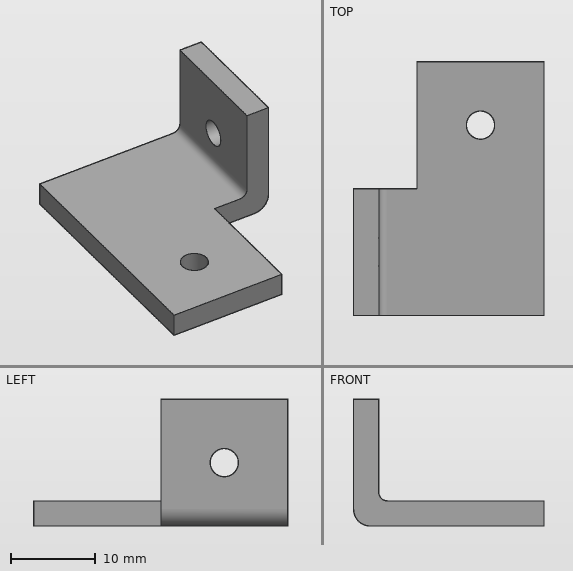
import cadquery as cq

thickness = 3.0
flange_size = 15.0
base_length_x = 22.5
base_length_y = 30.0
arm_width = 15.0
inner_bend_radius = 1.0
outer_bend_radius = 2.0
hole_diameter = 3.3

arm_start_x = base_length_x - arm_width
arm_length = base_length_y - flange_size
arm_hole_x = arm_start_x + arm_width / 2
arm_hole_y = flange_size + arm_length / 2
flange_hole_y = flange_size / 2
flange_hole_z = flange_size / 2


def make_angle():
    """L-shaped angle with a rounded bend, running along Y."""
    angle = (
        cq.Workplane("XZ")
        .polyline([
            (0, 0),
            (base_length_x, 0),
            (base_length_x, thickness),
            (thickness, thickness),
            (thickness, flange_size),
            (0, flange_size),
        ])
        .close()
        .extrude(-flange_size)
    )
    inner_corner = cq.selectors.NearestToPointSelector((thickness, flange_size / 2, thickness))
    outer_corner = cq.selectors.NearestToPointSelector((0, flange_size / 2, 0))
    angle = angle.edges(inner_corner).fillet(inner_bend_radius)
    return angle.edges(outer_corner).fillet(outer_bend_radius)


def make_arm():
    """Flat arm that carries the base on past the end of the flange."""
    return (
        cq.Workplane("XY")
        .box(arm_width, arm_length, thickness, centered=False)
        .translate((arm_start_x, flange_size, 0))
    )


def make_arm_hole():
    """Cutter for the vertical through hole in the arm."""
    return (
        cq.Workplane("XY")
        .center(arm_hole_x, arm_hole_y)
        .circle(hole_diameter / 2)
        .extrude(thickness)
    )


def make_flange_hole():
    """Cutter for the horizontal through hole in the upright flange."""
    return (
        cq.Workplane("YZ")
        .center(flange_hole_y, flange_hole_z)
        .circle(hole_diameter / 2)
        .extrude(thickness)
    )


bracket = make_angle().union(make_arm()).clean()
result = bracket.cut(make_arm_hole()).cut(make_flange_hole())